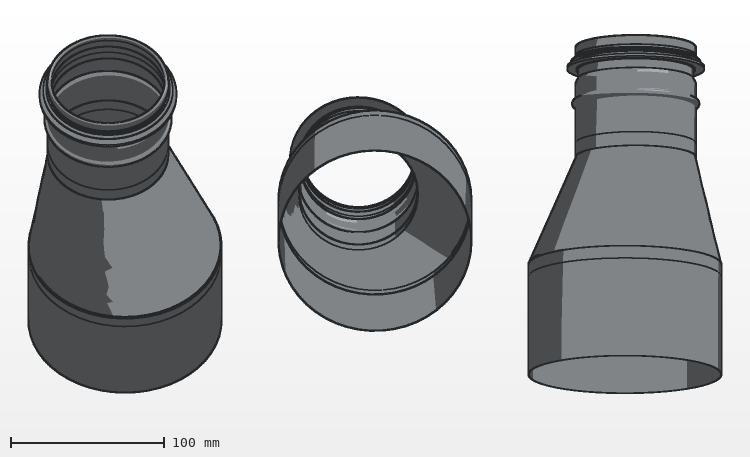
import cadquery as cq
import math

total_height = 213.5
wall = 0.5

lower_radius = 126.2 / 2
lower_top = 73.0

cone_bottom = 74.0
cone_top = 139.8
collar_length = 9.2

upper_radius = 79.0 / 2
axis_offset = upper_radius - lower_radius

bead_z = total_height - 38.2
bead_radius = 2.1
bead_fillet = 1.0

neck_radius = 75.4 / 2
neck_bottom = total_height - 21.5
taper_bottom = total_height - 24.5
bend_bottom = total_height - 25.8
pipe_top = total_height - 3.6
bend_depth = 0.2

rim_bottom = total_height - 8.3
rim_inner_bottom = total_height - 9.5
rim_bend = total_height - 6.5
rim_tuck = 0.6
rim_inner_radius = neck_radius - 2 * wall
rim_round = (upper_radius - rim_inner_radius) / 2
rim_center_radius = upper_radius - rim_round
rim_shoulder = total_height - rim_round

seal_base_radius = 38.9
seal_top = rim_bottom
seal_bottom = total_height - 15.8
seal_lips = [
    (40.4, seal_top, total_height - 9.0),
    (84.5 / 2, total_height - 10.2, total_height - 10.9),
    (89.5 / 2, total_height - 13.7, total_height - 15.4),
]


def disc(radius, bottom, top, x=0.0):
    return cq.Workplane("XY", origin=(x, 0, bottom)).circle(radius).extrude(top - bottom)


def tube(outer_radius, inner_radius, bottom, top, x=0.0):
    return disc(outer_radius, bottom, top, x).cut(disc(inner_radius, bottom, top, x))


def revolve_about_upper_axis(profile):
    """Revolve a closed (radius, z) profile and move it onto the upper pipe axis."""
    return profile.revolve(360, (0, 0, 0), (0, 1, 0)).translate((axis_offset, 0, 0))


def make_lower_pipe():
    return tube(lower_radius, lower_radius - wall, 0, lower_top)


def make_reducer():
    def envelope(inset):
        """Reducer with both collars as a solid, pulled in from the pipes by inset."""
        wide = lower_radius - inset
        narrow = upper_radius - inset
        cone = (
            cq.Workplane("XY", origin=(0, 0, cone_bottom))
            .circle(wide)
            .workplane(offset=cone_top - cone_bottom)
            .center(axis_offset, 0)
            .circle(narrow)
            .loft(ruled=True)
        )
        lower_collar = disc(wide, cone_bottom - collar_length, cone_bottom)
        upper_collar = disc(narrow, cone_top, cone_top + collar_length, axis_offset)
        return cone.union(lower_collar).union(upper_collar)

    return envelope(wall).cut(envelope(2 * wall))


def make_upper_pipe():
    center_distance = bead_radius + bead_fillet
    half_height = math.sqrt(center_distance**2 - bead_fillet**2)
    slope = math.atan2(half_height, bead_fillet)

    def envelope(inset):
        """Pipe as a solid, with its surface moved inward by inset."""
        radius = upper_radius - inset
        neck = neck_radius - inset
        crown = bead_radius - inset
        touch_radius = upper_radius + crown * math.cos(slope)
        touch_height = crown * math.sin(slope)
        profile = (
            cq.Workplane("XZ")
            .moveTo(0, cone_top)
            .lineTo(radius, cone_top)
            .lineTo(radius, bead_z - half_height)
            .tangentArcPoint((touch_radius, bead_z - touch_height), relative=False)
            .threePointArc((upper_radius + crown, bead_z), (touch_radius, bead_z + touch_height))
            .tangentArcPoint((radius, bead_z + half_height), relative=False)
            .lineTo(radius, bend_bottom)
            .tangentArcPoint((radius - bend_depth, taper_bottom), relative=False)
            .lineTo(neck, neck_bottom)
            .lineTo(neck, pipe_top)
            .lineTo(0, pipe_top)
            .close()
        )
        return revolve_about_upper_axis(profile)

    return envelope(0).cut(envelope(wall))


def make_rim():
    crest = total_height - wall
    profile = (
        cq.Workplane("XZ")
        .moveTo(rim_inner_radius, rim_inner_bottom)
        .lineTo(rim_inner_radius, rim_shoulder)
        .threePointArc((rim_center_radius, total_height), (upper_radius, rim_shoulder))
        .lineTo(upper_radius, rim_bend)
        .lineTo(upper_radius - rim_tuck, rim_bottom)
        .lineTo(upper_radius - rim_tuck - wall, rim_bottom)
        .lineTo(upper_radius - wall, rim_bend)
        .lineTo(upper_radius - wall, rim_shoulder)
        .threePointArc((rim_center_radius, crest), (rim_inner_radius + wall, rim_shoulder))
        .lineTo(rim_inner_radius + wall, rim_inner_bottom)
        .close()
    )
    return revolve_about_upper_axis(profile)


def make_seal():
    seal = tube(seal_base_radius, neck_radius, seal_bottom, seal_top, axis_offset)
    for lip_radius, lip_top, lip_bottom in seal_lips:
        seal = seal.union(tube(lip_radius, neck_radius, lip_bottom, lip_top, axis_offset))
    return seal


lower_pipe = make_lower_pipe()
reducer = make_reducer()
upper_pipe = make_upper_pipe()
rim = make_rim()
seal = make_seal()

bodies = [lower_pipe, reducer, upper_pipe, rim, seal]
result = cq.Compound.makeCompound([body.solids().val() for body in bodies])